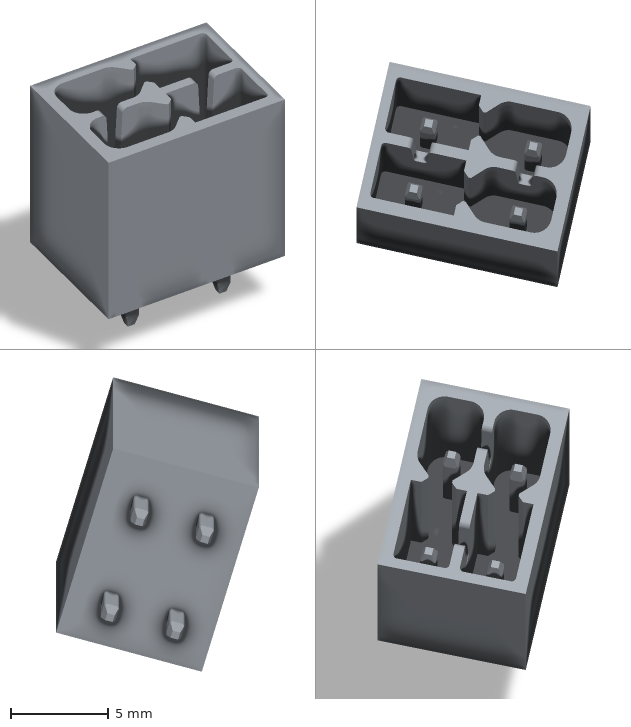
import cadquery as cq
import math

BODY_X = 7.8
BODY_Y = 10.6
BODY_Z = 10.0
FLOOR_THICKNESS = 2.0
TOTAL_HEIGHT = 12.6

PIN_PITCH_X = 3.5
PIN_PITCH_Y = 5.5
COLUMN_XS = (-PIN_PITCH_X / 2, PIN_PITCH_X / 2)
ROW_YS = (-PIN_PITCH_Y / 2, PIN_PITCH_Y / 2)

PIN_WIDTH = 0.81
PIN_EDGE_RADIUS = 0.15
TIP_WIDTH = 0.4
TIP_LENGTH = 0.8
PIN_RECESS = 3.02
PIN_BOTTOM_Z = BODY_Z - TOTAL_HEIGHT
PIN_TOP_Z = BODY_Z - PIN_RECESS

CAVITY_WIDTH = 2.95
CAVITY_TOP_Y = 4.76
CAVITY_BOTTOM_Y = -4.62
SQUARE_CORNER_RADIUS = 0.23
ROUND_CORNER_RADIUS = 0.88

RIB_DEPTH = 0.85
RIB_SHOULDER_Y = 0.32
RIB_BEVEL = 0.29
RIB_NOSE = 0.14

SLOT_TOP_WIDTH = 0.98
SLOT_DEPTH = 3.28
SLOT_DRAFT_DEG = 3
SLOT_LIP_RADIUS = 0.29
SLOT_FLOOR_RADIUS = 0.2

POSITION_TOLERANCE = 0.001


def round_corners_at(body, y, radius):
    """Round the vertical edges lying at one y position."""
    edges = body.edges("|Z").filter(lambda edge: abs(edge.Center().y - y) < POSITION_TOLERANCE)
    return edges.fillet(radius)


def make_cavity(column_x):
    """Plug cavity: a squarer socket (+Y) and a rounded one (-Y) joined by a keyed neck."""
    half = CAVITY_WIDTH / 2
    nose_x = half - RIB_DEPTH
    nose_top_y = RIB_SHOULDER_Y - RIB_BEVEL
    nose_bottom_y = nose_top_y - RIB_NOSE
    ramp_end_y = nose_bottom_y - RIB_DEPTH
    right_side = [
        (half, CAVITY_TOP_Y),
        (half, RIB_SHOULDER_Y),
        (nose_x + RIB_BEVEL, RIB_SHOULDER_Y),
        (nose_x, nose_top_y),
        (nose_x, nose_bottom_y),
        (half, ramp_end_y),
        (half, CAVITY_BOTTOM_Y),
    ]
    left_side = [(-x, y) for x, y in reversed(right_side)]
    cavity = (
        cq.Workplane("XY", origin=(column_x, 0, FLOOR_THICKNESS))
        .polyline(right_side + left_side)
        .close()
        .extrude(BODY_Z - FLOOR_THICKNESS)
    )

    cavity = round_corners_at(cavity, CAVITY_TOP_Y, SQUARE_CORNER_RADIUS)
    cavity = round_corners_at(cavity, ramp_end_y, ROUND_CORNER_RADIUS)
    cavity = round_corners_at(cavity, CAVITY_BOTTOM_Y, ROUND_CORNER_RADIUS)
    return cavity


def make_slot(row_y):
    """Drafted slot with a flared, rounded lip and rounded floor corners."""
    draft = math.radians(SLOT_DRAFT_DEG)
    top_half = SLOT_TOP_WIDTH / 2
    floor_half = top_half - SLOT_DEPTH * math.tan(draft)
    wall_thickness = PIN_PITCH_X - CAVITY_WIDTH
    floor_z = BODY_Z - SLOT_DEPTH

    lip_reach = SLOT_LIP_RADIUS * math.tan((math.pi / 2 - draft) / 2)
    lip_centre = (top_half + lip_reach, BODY_Z - SLOT_LIP_RADIUS)

    def lip_point(angle):
        return (
            lip_centre[0] - SLOT_LIP_RADIUS * math.cos(angle),
            lip_centre[1] + SLOT_LIP_RADIUS * math.sin(angle),
        )

    lip_start = lip_point(math.pi / 2)
    lip_middle = lip_point((math.pi / 2 + draft) / 2)
    lip_end = lip_point(draft)

    def mirrored(point):
        return (-point[0], point[1])

    slot = (
        cq.Workplane("YZ", origin=(-wall_thickness / 2, row_y, 0))
        .moveTo(*lip_start)
        .threePointArc(lip_middle, lip_end)
        .lineTo(floor_half, floor_z)
        .lineTo(-floor_half, floor_z)
        .lineTo(*mirrored(lip_end))
        .threePointArc(mirrored(lip_middle), mirrored(lip_start))
        .close()
        .extrude(wall_thickness)
    )
    return slot.faces("<Z").edges("|X").fillet(SLOT_FLOOR_RADIUS)


def make_pin(x, y):
    """Round-edged square pin whose two ends taper to a smaller square."""
    length = PIN_TOP_Z - PIN_BOTTOM_Z
    shaft = (
        cq.Workplane("XY", origin=(x, y, PIN_BOTTOM_Z))
        .rect(PIN_WIDTH, PIN_WIDTH)
        .extrude(length)
        .edges("|Z")
        .fillet(PIN_EDGE_RADIUS)
    )
    half = PIN_WIDTH / 2
    tip_half = TIP_WIDTH / 2
    side_profile = [
        (-tip_half, PIN_BOTTOM_Z),
        (tip_half, PIN_BOTTOM_Z),
        (half, PIN_BOTTOM_Z + TIP_LENGTH),
        (half, PIN_TOP_Z - TIP_LENGTH),
        (tip_half, PIN_TOP_Z),
        (-tip_half, PIN_TOP_Z),
        (-half, PIN_TOP_Z - TIP_LENGTH),
        (-half, PIN_BOTTOM_Z + TIP_LENGTH),
    ]
    for plane in ("XZ", "YZ"):
        taper = (
            cq.Workplane(plane, origin=(x, y, 0))
            .polyline(side_profile)
            .close()
            .extrude(PIN_WIDTH, both=True)
        )
        shaft = shaft.intersect(taper)
    return shaft


result = cq.Workplane("XY").box(BODY_X, BODY_Y, BODY_Z, centered=(True, True, False))

for column_x in COLUMN_XS:
    result = result.cut(make_cavity(column_x))

for row_y in ROW_YS:
    result = result.cut(make_slot(row_y))

for column_x in COLUMN_XS:
    for row_y in ROW_YS:
        result = result.union(make_pin(column_x, row_y))